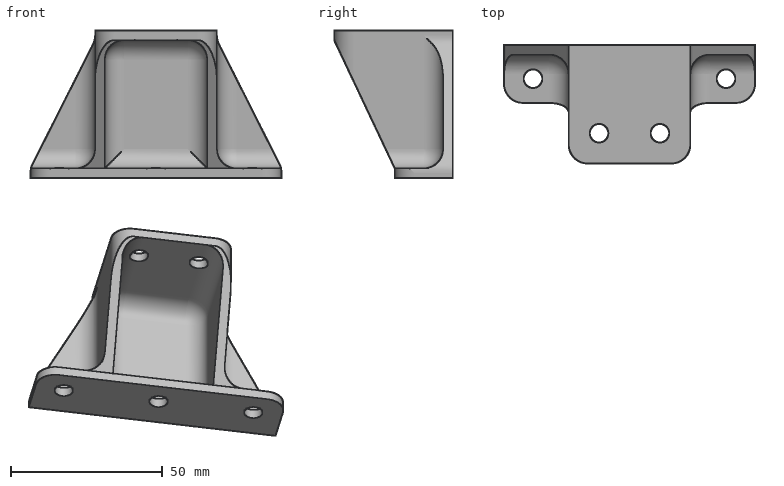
import cadquery as cq

base_width = 82.7
base_depth = 19.2
total_height = 48.6
top_width = 40.1
top_depth = 39.1

wall = 3.2
round_radius = 6.4

hole_diameter = 6.0
base_hole_spacing = 31.75
base_hole_depth = 11.2
top_hole_spacing = 20.0
top_hole_front_margin = 10.0

clearance = 8.3
top_underside = total_height - wall


def front_outline():
    """Stepped, sloping X-Z outline with its slope ends rounded, full depth."""
    half_base = base_width / 2
    half_top = top_width / 2
    outline = (
        cq.Workplane("XZ")
        .moveTo(-half_base, 0)
        .lineTo(half_base, 0)
        .lineTo(half_base, wall)
        .lineTo(half_top, top_underside)
        .lineTo(half_top, total_height)
        .lineTo(-half_top, total_height)
        .lineTo(-half_top, top_underside)
        .lineTo(-half_base, wall)
        .close()
        .extrude(top_depth)
    )
    for height in (wall, top_underside):
        slope_ends = cq.selectors.BoxSelector(
            (-base_width, -top_depth, height - wall / 4),
            (base_width, 0, height + wall / 4),
        )
        outline = outline.edges("|Y").edges(slope_ends).fillet(round_radius)
    return outline


def side_outline():
    """Y-Z outline: short base, overhanging top and the slope joining them."""
    return (
        cq.Workplane("YZ")
        .moveTo(0, 0)
        .lineTo(-base_depth, 0)
        .lineTo(-base_depth, wall)
        .lineTo(-top_depth, top_underside)
        .lineTo(-top_depth, total_height)
        .lineTo(0, total_height)
        .close()
        .extrude(base_width / 2, both=True)
    )


def corner_waste(width, depth, height):
    """Material outside the rounded front corners of a block on the mounting face."""
    block = (
        cq.Workplane("XY")
        .box(width, depth, height, centered=(True, False, False))
        .translate((0, -depth, 0))
    )
    return block.cut(block.edges("|Z and <Y").fillet(round_radius))


def wing_pocket():
    """Cutter clearing the space over the right wing, rounded at its inner corner."""
    pocket = (
        cq.Workplane("XY")
        .box(base_width, top_depth + clearance, total_height, centered=False)
        .translate((top_width / 2, -wall - top_depth - clearance, wall))
    )
    return (
        pocket.edges("(|Z and <X and >Y) or (|Y and <X and <Z) or (|X and >Y and <Z)")
        .fillet(round_radius)
    )


def front_cavity():
    """Cutter hollowing the body from the front; its floor side edges stay sharp."""
    depth = top_depth + clearance
    cavity = (
        cq.Workplane("XY")
        .box(top_width - 2 * wall, depth, top_underside - wall, centered=(True, False, False))
        .translate((0, -wall - depth, wall))
    )
    return cavity.edges(">Y or (|Y and >Z)").fillet(round_radius)


def holes(points, bottom):
    """Vertical drills through one plate and the inner rounds beside it."""
    return (
        cq.Workplane("XY", origin=(0, 0, bottom))
        .pushPoints(points)
        .circle(hole_diameter / 2)
        .extrude(wall + round_radius)
    )


right_pocket = wing_pocket()
left_pocket = right_pocket.mirror("YZ")
bracket = front_outline().intersect(side_outline())
bracket = bracket.cut(right_pocket).cut(left_pocket)

bracket = bracket.cut(corner_waste(base_width, base_depth, wall))
bracket = bracket.cut(corner_waste(top_width, top_depth, total_height))

bracket = bracket.cut(front_cavity())

base_holes = [(step * base_hole_spacing, -base_hole_depth) for step in (-1, 0, 1)]
top_hole_y = top_hole_front_margin - top_depth
top_holes = [(side * top_hole_spacing / 2, top_hole_y) for side in (-1, 1)]
bracket = bracket.cut(holes(base_holes, 0))
result = bracket.cut(holes(top_holes, top_underside - round_radius))